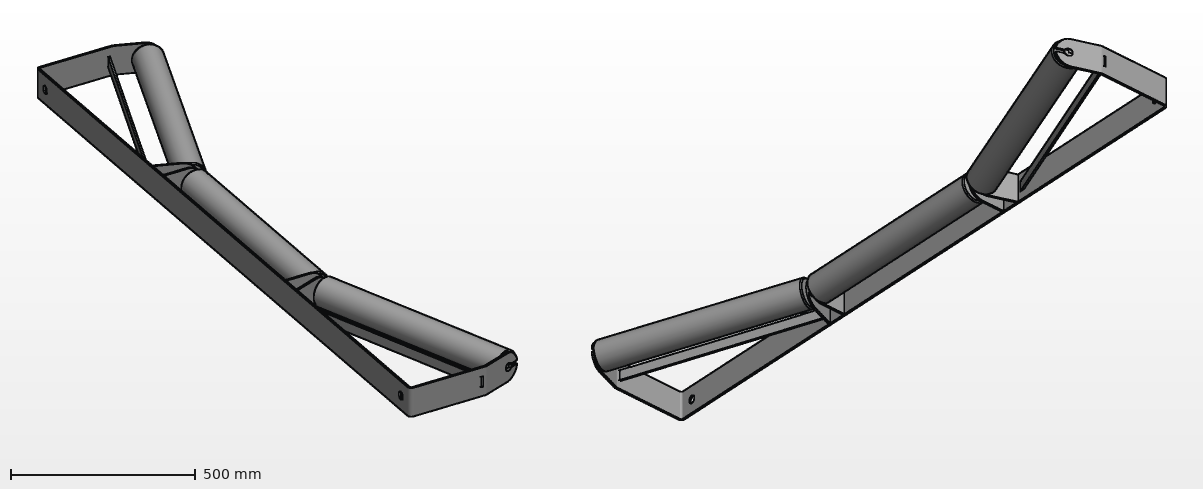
import cadquery as cq
import math

OVERALL_LENGTH = 2000.0
PLATE = 5.0
FRAME_WIDTH = 90.0
TILT = 20.0
BEND_HEIGHT = 240.0
BEND_RADIUS = 12.0

ROLLER_DIAMETER = 90.0
ROLLER_DROP = 5.0
ROLLER_CHAMFER = 5.0
ROLLER_GAP = 2.0
SHAFT_RADIUS = 12.0
SHAFT_LENGTH = 660.0

CENTRE_AXIS_HEIGHT = 100.0
SIDE_AXIS_OFFSET = 95.0
TIP_BELOW_AXIS = 8.0
SHAFT_SLOT_WIDTH = 12.0

BRACKET_HEIGHT = 125.0

BRACE_WIDTH = 32.0
BRACE_OUTER_HEIGHT = 228.0
BRACE_FOOT_X = 405.0

BOLT_HOLE_X = 952.0
BOLT_HOLE_WIDTH = 20.0
BOLT_HOLE_HEIGHT = 25.0

HALF_LENGTH = OVERALL_LENGTH / 2
COS_TILT = math.cos(math.radians(TILT))
SIN_TILT = math.sin(math.radians(TILT))
TAN_TILT = math.tan(math.radians(TILT))
INWARD = cq.Vector(COS_TILT, -SIN_TILT)
UPWARD = cq.Vector(SIN_TILT, COS_TILT)
ALONG_X = cq.Vector(1, 0)
CENTRE_ROLLER_CENTRE = cq.Vector(0, CENTRE_AXIS_HEIGHT, -ROLLER_DROP)
BEND_POINT = cq.Vector(-HALF_LENGTH, BEND_HEIGHT)
SIDE_SHAFT_END = BEND_POINT + UPWARD * SIDE_AXIS_OFFSET
LEAN_SHAFT_END = SIDE_SHAFT_END + INWARD * SHAFT_LENGTH - cq.Vector(0, 0, ROLLER_DROP)
SIDE_AXIS = (LEAN_SHAFT_END - SIDE_SHAFT_END).normalized()
SIDE_ROLLER_CENTRE = (SIDE_SHAFT_END + LEAN_SHAFT_END) * 0.5
TIP_CENTRE = SIDE_SHAFT_END - UPWARD * TIP_BELOW_AXIS


def mirrored_pair(left):
    """Return a left-hand body and its mirror image across the YZ plane."""
    return [left, left.mirror("YZ")]


def flat_solid(points, width):
    """Extrude an XY outline symmetrically about Z = 0."""
    return cq.Workplane("XY", origin=(0, 0, -width / 2)).polyline(points).close().extrude(width)


def rod(centre, direction, radius, length):
    """Cylinder whose mid-point is at centre and whose axis follows direction."""
    start = centre - direction * (length / 2)
    plane = cq.Plane(origin=start.toTuple(), xDir=(0, 0, 1), normal=direction.toTuple())
    return cq.Workplane(plane).circle(radius).extrude(length)


def make_roller(centre, direction):
    """Solid roller with chamfered ends and a shaft that reaches through both supports."""
    face_length = SHAFT_LENGTH - 2 * (PLATE + ROLLER_GAP)
    drum = rod(centre, direction, ROLLER_DIAMETER / 2, face_length).edges("%CIRCLE").chamfer(ROLLER_CHAMFER)
    return drum.union(rod(centre, direction, SHAFT_RADIUS, SHAFT_LENGTH))


def make_brace():
    """Left diagonal brace, from the outer face of the upright down to the base strip."""
    slope = math.atan2(BRACE_OUTER_HEIGHT - PLATE, HALF_LENGTH - BRACE_FOOT_X)
    half_rise = PLATE / (2 * math.cos(slope))
    half_run = PLATE / (2 * math.sin(slope))
    outline = [
        (-HALF_LENGTH, BRACE_OUTER_HEIGHT - half_rise),
        (-HALF_LENGTH, BRACE_OUTER_HEIGHT + half_rise),
        (-BRACE_FOOT_X + half_run, PLATE),
        (-BRACE_FOOT_X - half_run, PLATE),
    ]
    return flat_solid(outline, BRACE_WIDTH)


def make_bracket():
    """Left inner bracket: a leaning leg and a straight leg joined by a bar at the top."""
    straight_outside = SHAFT_LENGTH / 2 - PLATE
    straight_inside = SHAFT_LENGTH / 2
    lean_thickness = PLATE / COS_TILT

    def lean_inside(y):
        return LEAN_SHAFT_END.x + (y - LEAN_SHAFT_END.y) * TAN_TILT

    def lean_outside(y):
        return lean_inside(y) - lean_thickness

    bar_underside = BRACKET_HEIGHT - PLATE
    outline = [
        (lean_outside(PLATE), PLATE),
        (lean_outside(BRACKET_HEIGHT), BRACKET_HEIGHT),
        (-straight_outside, BRACKET_HEIGHT),
        (-straight_outside, PLATE),
        (-straight_inside, PLATE),
        (-straight_inside, bar_underside),
        (lean_inside(bar_underside), bar_underside),
        (lean_inside(PLATE), PLATE),
    ]
    tip_radius = FRAME_WIDTH / 2
    shoulder = BRACKET_HEIGHT - tip_radius
    round_top = (
        cq.Workplane("YZ", origin=(-HALF_LENGTH, 0, 0))
        .moveTo(0, -tip_radius)
        .lineTo(shoulder, -tip_radius)
        .threePointArc((BRACKET_HEIGHT, 0), (shoulder, tip_radius))
        .lineTo(0, tip_radius)
        .close()
        .extrude(HALF_LENGTH)
    )
    bracket = flat_solid(outline, FRAME_WIDTH).intersect(round_top)
    centre_shaft = rod(CENTRE_ROLLER_CENTRE, ALONG_X, SHAFT_RADIUS, SHAFT_LENGTH)
    side_shaft = rod(SIDE_ROLLER_CENTRE, SIDE_AXIS, SHAFT_RADIUS, SHAFT_LENGTH)
    return bracket.cut(centre_shaft).cut(side_shaft)


def make_frame(braces):
    """Base strip and two bent uprights with round slotted tips, cut for shafts, bolts and braces."""
    bend_setback = PLATE * math.tan(math.radians(TILT / 2))
    tip_inside = TIP_CENTRE + INWARD * PLATE
    outer_corner = (-HALF_LENGTH, 0)
    outer_bend = (-HALF_LENGTH, BEND_HEIGHT)
    inner_bend = (-HALF_LENGTH + PLATE, BEND_HEIGHT - bend_setback)
    inner_corner = (-HALF_LENGTH + PLATE, PLATE)
    outer_path = [outer_corner, outer_bend, (TIP_CENTRE.x, TIP_CENTRE.y)]
    inner_path = [(tip_inside.x, tip_inside.y), inner_bend, inner_corner]
    left_path = outer_path + inner_path
    right_path = [(-x, y) for x, y in reversed(left_path)]
    frame = flat_solid(left_path + right_path, FRAME_WIDTH)

    for x, y, radius in [
        (*outer_corner, BEND_RADIUS),
        (*outer_bend, BEND_RADIUS),
        (*inner_corner, BEND_RADIUS - PLATE),
        (*inner_bend, BEND_RADIUS - PLATE),
    ]:
        for side in (1, -1):
            bend = cq.selectors.NearestToPointSelector((side * x, y, 0))
            frame = frame.edges(bend).fillet(radius)

    plate_middle = INWARD * (PLATE / 2)
    round_tip = rod(TIP_CENTRE + plate_middle, INWARD, FRAME_WIDTH / 2, PLATE)
    for tip in mirrored_pair(round_tip):
        frame = frame.union(tip)

    shaft_hole = rod(SIDE_ROLLER_CENTRE, SIDE_AXIS, SHAFT_RADIUS, SHAFT_LENGTH)
    slot_plane = cq.Plane(
        origin=(SIDE_SHAFT_END + plate_middle).toTuple(),
        xDir=UPWARD.toTuple(),
        normal=INWARD.toTuple(),
    )
    shaft_slot = cq.Workplane(slot_plane).box(
        FRAME_WIDTH, SHAFT_SLOT_WIDTH, 2 * PLATE, centered=(False, True, True)
    )
    bolt_hole = (
        cq.Workplane("XZ")
        .center(-BOLT_HOLE_X, 0)
        .slot2D(BOLT_HOLE_HEIGHT, BOLT_HOLE_WIDTH, 90)
        .extrude(-PLATE)
    )
    for cutter in (shaft_hole, shaft_slot, bolt_hole):
        for tool in mirrored_pair(cutter):
            frame = frame.cut(tool)
    for brace in braces:
        frame = frame.cut(brace)
    return frame


braces = mirrored_pair(make_brace())
frame = make_frame(braces)
brackets = mirrored_pair(make_bracket())
side_rollers = mirrored_pair(make_roller(SIDE_ROLLER_CENTRE, SIDE_AXIS))
centre_roller = make_roller(CENTRE_ROLLER_CENTRE, ALONG_X)

bodies = [frame, *braces, *brackets, *side_rollers, centre_roller]
result = cq.Compound.makeCompound([body.val() for body in bodies])